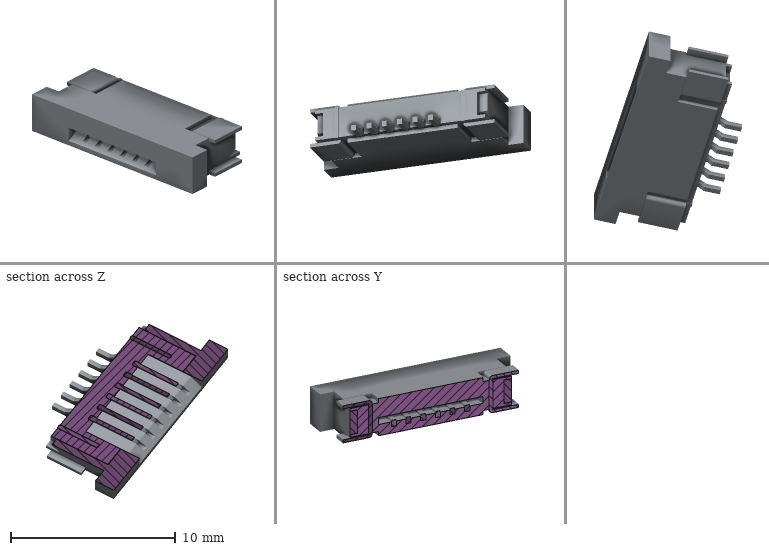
import cadquery as cq


slider_width = 12.97
height = 2.5
overall_depth = 6.9

housing_width = 11.05
housing_back = 5.5
recess_depth = 0.27
raised_pad_width = 7.15
raised_pad_back = 5.11
recess_front = 2.62

entry_width = 7.05
entry_top = 1.2
lip_height = 0.31
ramp_top = 0.78
ramp_depth = 0.8
entry_back = 3.89

bar_depth = 1.36
arm_thickness = 0.52
arm_bottom = 0.49
arm_top = height - arm_bottom
arm_end = 5.11
arm_bevel_length = 0.58
arm_bevel_height = 0.36

sheet_thickness = 0.23
clip_inner_x = 3.98
clip_outer_x = 5.99
clip_front = 2.66
clip_back = 5.54
tab_back = 5.15

contact_count = 6
contact_pitch = 1.0
contact_width = 0.31
contact_row_offset = 0.01
foot_thickness = 0.35
foot_top_end = 6.0
foot_bottom_end = 5.86
shank_top = 0.67
shank_bend_top_y = clip_back
shank_bend_bottom_y = 5.59
root_length = 0.39
root_top = 0.93
beam_bottom = 0.47
beam_top = 0.88
beam_tip = 0.84
tip_nose_top = 0.58
tip_slope_length = 0.3


def block(x_range, y_range, z_range):
    """Axis-aligned box between the given limits."""
    (x0, x1), (y0, y1), (z0, z1) = x_range, y_range, z_range
    box = cq.Workplane("XY").box(x1 - x0, y1 - y0, z1 - z0, centered=False)
    return box.translate((x0, y0, z0))


def side_profile(points, x_start, thickness):
    """Prism of a (y, z) outline that starts at x_start and grows toward +X."""
    return cq.Workplane("YZ").workplane(offset=x_start).polyline(points).close().extrude(thickness)


def both_sides(right_part):
    """The right-hand part and its mirror image on the left."""
    return [right_part, right_part.mirror("YZ")]


def contact_centers():
    first = contact_row_offset - contact_pitch * (contact_count - 1) / 2
    return [first + i * contact_pitch for i in range(contact_count)]


def make_contact(center_x):
    """Contact with a soldering foot, a shank, a root in the housing and a spring beam."""
    root_back = entry_back + root_length
    outline = [
        (overall_depth, 0),
        (foot_bottom_end, 0),
        (shank_bend_bottom_y, recess_depth),
        (entry_back, recess_depth),
        (entry_back, beam_bottom),
        (beam_tip, beam_bottom),
        (beam_tip, tip_nose_top),
        (beam_tip + tip_slope_length, beam_top),
        (entry_back, beam_top),
        (entry_back, root_top),
        (root_back, root_top),
        (root_back, shank_top),
        (shank_bend_top_y, shank_top),
        (foot_top_end, foot_thickness),
        (overall_depth, foot_thickness),
    ]
    return side_profile(outline, center_x - contact_width / 2, contact_width)


def make_right_clip():
    """Upright plate with an outward tab bent from its top edge and one from its bottom edge."""
    bend_x = clip_inner_x + sheet_thickness
    plate_top = height - sheet_thickness
    plate = block((clip_inner_x, bend_x), (clip_front, clip_back), (sheet_thickness, plate_top))
    bend_mid = sheet_thickness * 0.5**0.5
    top_tab = (
        cq.Workplane("XZ", origin=(0, tab_back, 0))
        .moveTo(clip_inner_x, plate_top)
        .threePointArc((bend_x - bend_mid, plate_top + bend_mid), (bend_x, height))
        .lineTo(clip_outer_x, height)
        .lineTo(clip_outer_x, plate_top)
        .close()
        .extrude(tab_back - clip_front)
    )
    bottom_tab = top_tab.mirror("XY", (0, 0, height / 2))
    return plate.union(top_tab).union(bottom_tab)


def make_slider():
    """Front bar with a cable opening and two hooked arms that run back along the housing."""
    half_entry = entry_width / 2
    bar = block((-slider_width / 2, slider_width / 2), (0, bar_depth), (0, height))
    slider = bar.cut(block((-half_entry, half_entry), (0, bar_depth), (0, entry_top)))
    arm_outline = [
        (bar_depth, arm_bottom),
        (arm_end - arm_bevel_length, arm_bottom),
        (arm_end, arm_bottom + arm_bevel_height),
        (arm_end, arm_top),
        (bar_depth, arm_top),
    ]
    arm = side_profile(arm_outline, housing_width / 2 - arm_thickness, arm_thickness)
    for side_arm in both_sides(arm):
        slider = slider.union(side_arm)
    return slider


def cut_face_recess(body, z_range):
    """Lower one flat face at both sides and along the back, leaving a raised pad."""
    half_pad = raised_pad_width / 2
    half_width = housing_width / 2
    body = body.cut(block((-half_width, half_width), (raised_pad_back, housing_back), z_range))
    side_recess = block((half_pad, half_width), (recess_front, housing_back), z_range)
    for recess in both_sides(side_recess):
        body = body.cut(recess)
    return body


def make_housing(clips, contacts):
    half_width = housing_width / 2
    half_entry = entry_width / 2
    body = block((-half_width, half_width), (bar_depth, housing_back), (0, height))
    body = cut_face_recess(body, (0, recess_depth))
    body = cut_face_recess(body, (height - recess_depth, height))

    body = body.cut(block((-half_entry, half_entry), (bar_depth, entry_back), (ramp_top, entry_top)))
    lip_outline = [(0, 0), (bar_depth, 0), (bar_depth, ramp_top), (ramp_depth, ramp_top), (0, lip_height)]
    body = body.union(side_profile(lip_outline, -half_entry, entry_width))

    channel = block(
        (half_width - arm_thickness, half_width), (bar_depth, housing_back), (arm_bottom, arm_top)
    )
    for side_channel in both_sides(channel):
        body = body.cut(side_channel)

    for center_x in contact_centers():
        groove_x = (center_x - contact_width / 2, center_x + contact_width / 2)
        body = body.cut(block(groove_x, (0, entry_back), (beam_bottom, ramp_top)))

    for insert in clips + contacts:
        body = body.cut(insert)
    return body


contacts = [make_contact(center_x) for center_x in contact_centers()]
clips = both_sides(make_right_clip())
slider = make_slider()
housing = make_housing(clips, contacts)

result = cq.Compound.makeCompound(
    [
        housing.val(),
        slider.val(),
        *[clip.val() for clip in clips],
        *[contact.val() for contact in contacts],
    ]
)